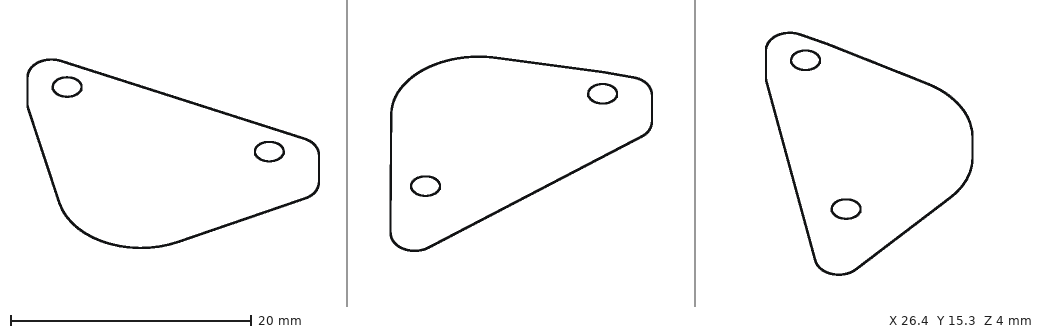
import cadquery as cq
import math

LENGTH = 26.45
DEPTH = 15.32
HEIGHT = 4.0

CORNER_RADIUS = 2.0
NOSE_RADIUS = 6.99
EDGE_FILLET = 0.5

SLOPE_START = 5.0
SLOPE_ANGLE = 4.0

HOLE_DIAMETER = 2.4
HOLE_SPACING = 18.63
HOLE_SETBACK = 3.0


def rounded_triangle():
    """Plate whose slanted sides are tangent to the corner and nose arcs."""
    corner_x = LENGTH / 2 - CORNER_RADIUS
    corner_y = -CORNER_RADIUS
    nose_y = NOSE_RADIUS - DEPTH

    rise = corner_y - nose_y
    center_distance = math.hypot(corner_x, rise)
    normal = math.atan2(rise, corner_x) - math.acos(
        (NOSE_RADIUS - CORNER_RADIUS) / center_distance
    )

    def corner_point(angle):
        return (
            corner_x + CORNER_RADIUS * math.cos(angle),
            corner_y + CORNER_RADIUS * math.sin(angle),
        )

    def mirrored(point):
        return (-point[0], point[1])

    corner_end = corner_point(normal)
    corner_middle = corner_point((normal + math.pi / 2) / 2)
    nose_start = (
        NOSE_RADIUS * math.cos(normal),
        nose_y + NOSE_RADIUS * math.sin(normal),
    )

    return (
        cq.Workplane("XY")
        .moveTo(-corner_x, 0)
        .lineTo(corner_x, 0)
        .threePointArc(corner_middle, corner_end)
        .lineTo(*nose_start)
        .threePointArc((0, -DEPTH), mirrored(nose_start))
        .lineTo(*mirrored(corner_end))
        .threePointArc(mirrored(corner_middle), (-corner_x, 0))
        .close()
        .extrude(HEIGHT)
    )


def slope_cutter():
    """Wedge that lowers the top face toward the nose."""
    drop = (DEPTH - SLOPE_START) * math.tan(math.radians(SLOPE_ANGLE))
    run = 2 * (DEPTH - SLOPE_START)
    return (
        cq.Workplane("YZ")
        .moveTo(-SLOPE_START, HEIGHT)
        .lineTo(-SLOPE_START - run, HEIGHT)
        .lineTo(-SLOPE_START - run, HEIGHT - 2 * drop)
        .close()
        .extrude(LENGTH / 2, both=True)
    )


body = rounded_triangle().cut(slope_cutter())

fold_edge = cq.selectors.NearestToPointSelector((0, -SLOPE_START, HEIGHT))
outline_edges = body.edges("not |Z").edges(-fold_edge)
body = outline_edges.fillet(EDGE_FILLET)

result = (
    body.faces("<Z")
    .workplane(origin=(0, -HOLE_SETBACK, 0))
    .pushPoints([(-HOLE_SPACING / 2, 0), (HOLE_SPACING / 2, 0)])
    .hole(HOLE_DIAMETER)
)